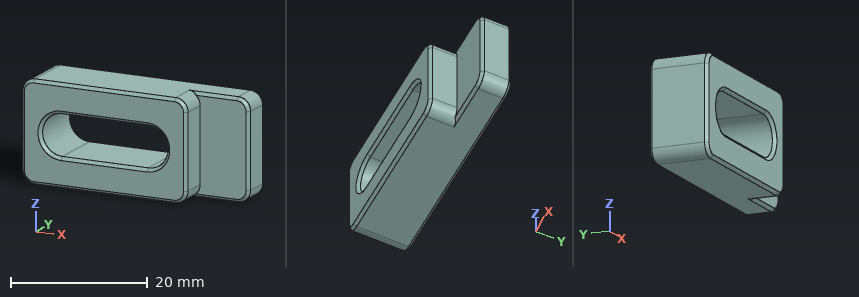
import cadquery as cq

length = 35.0
depth = 9.5
height = 16.0

body_length = 27.0
tongue_depth = 5.0
corner_radius = 2.0
edge_chamfer = 0.5

slot_width = 6.5
slot_center_spacing = 14.0
slot_length = slot_center_spacing + slot_width

back_y = depth / 2
front_y = -depth / 2


def plate(plate_length, plate_front_y, plate_back_y, chamfered_faces):
    """Upright plate with rounded corners and chamfered rims on the selected faces."""
    return (
        cq.Workplane("XZ", origin=(plate_length / 2, plate_back_y, 0))
        .rect(plate_length, height)
        .extrude(plate_back_y - plate_front_y)
        .edges("|Y")
        .fillet(corner_radius)
        .faces(chamfered_faces)
        .chamfer(edge_chamfer)
    )


def tongue_plate():
    """Full-length back plate whose +X end is the tongue, chamfered front and back."""
    return plate(length, back_y - tongue_depth, back_y, "<Y or >Y")


def body_block():
    """Thick body, chamfered at the front and ending where the back rim chamfer begins."""
    return plate(body_length, front_y, back_y - edge_chamfer, "<Y")


def slot_cutter():
    """Through slot that flares into a chamfer at the front face."""
    slot_center_x = body_length / 2
    through_slot = (
        cq.Workplane("XZ", origin=(slot_center_x, back_y, 0))
        .slot2D(slot_length, slot_width)
        .extrude(depth)
    )
    mouth_growth = 2 * edge_chamfer
    mouth = (
        cq.Workplane("XZ", origin=(slot_center_x, front_y + edge_chamfer, 0))
        .slot2D(slot_length + mouth_growth, slot_width + mouth_growth)
        .extrude(mouth_growth)
        .faces(">Y")
        .chamfer(edge_chamfer)
    )
    return through_slot.union(mouth)


result = tongue_plate().union(body_block()).cut(slot_cutter())